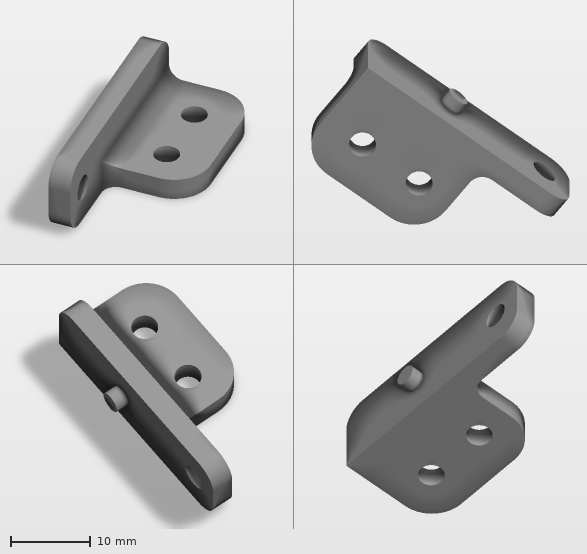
import cadquery as cq

plate_length = 32.0
plate_height = 10.0
thickness = 3.0
plate_corner_radius = 3.0

flange_reach = 12.0
flange_length = 20.0
flange_corner_radius = 5.0
inner_fillet_radius = 2.0

hole_diameter = 3.4
plate_hole_from_front = 4.0
flange_hole_x = 9.0
flange_holes_from_back = (6.0, 15.0)

pin_diameter = 2.8
pin_length = 1.8
pin_from_back = 13.0

flange_front = plate_length - flange_length
flange_end = thickness + flange_reach
mid_height = plate_height / 2


def make_plate():
    """Plate with three rounded corners; the bottom corner at the flange stays square."""
    plate = cq.Workplane("XY").box(thickness, plate_length, plate_height, centered=False)
    plate = plate.edges("|X and <Y").fillet(plate_corner_radius)
    return plate.edges("|X and >Y and >Z").fillet(plate_corner_radius)


def make_flange():
    flange = cq.Workplane("XY").box(flange_end, flange_length, thickness, centered=False)
    flange = flange.edges("|Z and >X").fillet(flange_corner_radius)
    return flange.translate((0, flange_front, 0))


def fillet_inner_corners(bracket):
    """Blend the flange's top and front side into the plate."""
    top_corner = cq.selectors.NearestToPointSelector(
        (thickness, flange_front + flange_length / 2, thickness)
    )
    side_corner = cq.selectors.NearestToPointSelector((thickness, flange_front, thickness / 2))
    return bracket.edges(top_corner + side_corner).fillet(inner_fillet_radius)


def make_plate_hole():
    return (
        cq.Workplane("YZ")
        .center(plate_hole_from_front, mid_height)
        .circle(hole_diameter / 2)
        .extrude(thickness)
    )


def make_flange_holes():
    centres = [(flange_hole_x, plate_length - offset) for offset in flange_holes_from_back]
    return cq.Workplane("XY").pushPoints(centres).circle(hole_diameter / 2).extrude(thickness)


def make_pin():
    return (
        cq.Workplane("YZ")
        .center(plate_length - pin_from_back, mid_height)
        .circle(pin_diameter / 2)
        .extrude(-pin_length)
    )


bracket = fillet_inner_corners(make_plate().union(make_flange()))
result = bracket.cut(make_plate_hole()).cut(make_flange_holes()).union(make_pin())